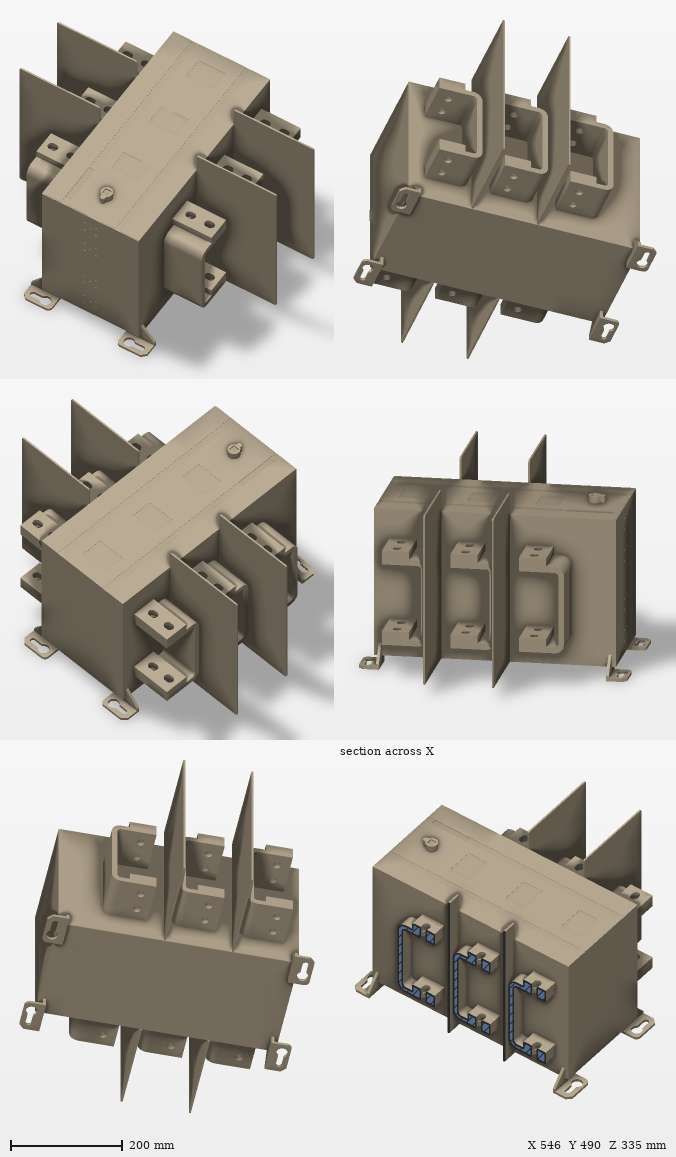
import cadquery as cq

total_width = 546.0
total_depth = 490.0
total_height = 335.0

body_width = 206.0
body_depth = 441.0
body_bottom = 19.0
body_height = 275.0
body_top = body_bottom + body_height
front_plate_thickness = 1.5
surface_step = 0.5

pole_pitch = 125.0
middle_pole_y = 42.0
pole_centers = [middle_pole_y + pole_pitch * step for step in (-1, 0, 1)]

pad_depth = 49.0
pad_thickness = 15.5
terminal_outer_x = 186.0
bar_gap = 3.5
bar_depth = 82.0
bar_height = 161.0
bar_bottom = 64.0
bar_thickness = 10.5
bar_outer_radius = 17.5
bolt_diameter = 14.0
bolt_slot_width = 15.0
bolt_slot_length = 20.0
bolt_centers_x = (129.5, 164.0)

barrier_thickness = 3.5
barrier_corner_radius = 3.5
barrier_offset_from_pole = 57.5

cover_strip_inner_x = 51.5
cover_strip_width = 12.0
label_center_y = -165.0
label_length = 81.5
window_width = 58.0
window_depth = 42.5

knob_y = -165.0
knob_radius = 11.5
knob_height = 14.0
knob_pointer_width = 10.0
knob_pointer_reach = 18.0
knob_tip_radius = 4.5
knob_socket_size = 12.5
knob_socket_depth = 3.5

front_hole_diameter = 4.0
group_offsets_z = (-105.0, -46.0, 46.0, 105.0)
group_half_width = 12.0
group_half_height = 10.5

foot_inner_x = 70.5
foot_width = 60.5
foot_outer_x = foot_inner_x + foot_width
foot_thickness = 5.5
foot_web_inner_y = 207.0
foot_web_height = 42.0
foot_web_edge_height = 10.5
foot_corner = 9.0
keyhole_center_x = 89.0
keyhole_center_y = 230.0
keyhole_radius = 10.5
keyhole_slot_radius = 5.5
keyhole_slot_end_x = 116.0


def box(x_range, y_range, z_range):
    """Axis-aligned block given by its limits on each axis."""
    (x0, x1), (y0, y1), (z0, z1) = x_range, y_range, z_range
    return cq.Workplane("XY").box(x1 - x0, y1 - y0, z1 - z0, centered=False).translate((x0, y0, z0))


def make_body():
    """Main block with a thin front plate whose top edge is slightly lower."""
    half_width = body_width / 2
    half_depth = body_depth / 2
    plate_back = -half_depth + front_plate_thickness
    sides = (-half_width, half_width)
    block = box(sides, (plate_back, half_depth), (body_bottom, body_top))
    plate = box(sides, (-half_depth, plate_back), (body_bottom, body_top - surface_step))
    return block.union(plate)


def cut_cover_details(body):
    """Shallow strips along the cover, a label area in the left one, and pole windows."""
    strip_center = cover_strip_inner_x + cover_strip_width / 2
    cover = cq.Workplane("XY").workplane(offset=body_top)
    strips = (
        cover.pushPoints([(-strip_center, 0), (strip_center, 0)])
        .rect(cover_strip_width, body_depth)
        .extrude(-surface_step)
    )
    label = (
        cover.center(-strip_center, label_center_y)
        .rect(cover_strip_width, label_length)
        .extrude(-2 * surface_step)
    )
    windows = (
        cover.pushPoints([(0, y) for y in pole_centers])
        .rect(window_width, window_depth)
        .extrude(-surface_step)
    )
    return body.cut(strips).cut(label).cut(windows)


def cut_front_holes(body):
    """Four groups of five small holes through the front plate."""
    body_middle = body_bottom + body_height / 2
    points = []
    for offset in group_offsets_z:
        group_z = body_middle + offset
        points.append((0, group_z))
        for side in (-1, 1):
            for level in (-1, 1):
                points.append((side * group_half_width, group_z + level * group_half_height))
    holes = (
        cq.Workplane("XZ", origin=(0, -body_depth / 2, 0))
        .pushPoints(points)
        .circle(front_hole_diameter / 2)
        .extrude(-front_plate_thickness)
    )
    return body.cut(holes)


def make_knob():
    """Round knob with a forward pointer and a square socket in its top."""
    pointer = (
        box(
            (-knob_pointer_width / 2, knob_pointer_width / 2),
            (-knob_pointer_reach, 0),
            (0, knob_height),
        )
        .faces("<Y").edges("|Z").fillet(knob_tip_radius)
    )
    socket = (
        cq.Workplane("XY")
        .workplane(offset=knob_height)
        .rect(knob_socket_size, knob_socket_size)
        .extrude(-knob_socket_depth)
    )
    knob = cq.Workplane("XY").circle(knob_radius).extrude(knob_height).union(pointer).cut(socket)
    return knob.translate((0, knob_y, body_top))


def make_terminal(pole_y):
    """Right-hand terminal of one pole: two pads on a C-shaped bar, with bolt holes."""
    back_y = pole_y + pad_depth / 2
    front_y = back_y - bar_depth
    bar_top = bar_bottom + bar_height
    bar_x = (body_width / 2 + bar_gap, terminal_outer_x)

    bar = box(bar_x, (front_y, back_y), (bar_bottom, bar_top))
    bar = bar.faces("<Y").edges("|X").fillet(bar_outer_radius)
    hollow = box(
        bar_x,
        (front_y + bar_thickness, back_y),
        (bar_bottom + bar_thickness, bar_top - bar_thickness),
    )
    hollow = hollow.faces("<Y").edges("|X").fillet(bar_outer_radius - bar_thickness)
    bolt_holes = (
        cq.Workplane("XY")
        .pushPoints([(x, pole_y) for x in bolt_centers_x])
        .circle(bolt_diameter / 2)
        .extrude(body_top)
    )
    terminal = bar.cut(hollow).cut(bolt_holes)

    slot_shift = (bolt_slot_length - bolt_slot_width) / 2
    slot_centers = [
        (bolt_centers_x[0] - slot_shift, pole_y),
        (bolt_centers_x[1] + slot_shift, pole_y),
    ]
    for pad_bottom in (bar_bottom + bar_thickness, bar_top):
        pad = box(
            (body_width / 2, terminal_outer_x),
            (pole_y - pad_depth / 2, back_y),
            (pad_bottom, pad_bottom + pad_thickness),
        )
        slots = (
            cq.Workplane("XY")
            .workplane(offset=pad_bottom)
            .pushPoints(slot_centers)
            .slot2D(bolt_slot_length, bolt_slot_width)
            .extrude(pad_thickness)
        )
        terminal = terminal.union(pad.cut(slots))
    return terminal


def make_barrier(center_y):
    """Right-hand phase barrier: a thin plate standing out from the body side."""
    plate = box(
        (body_width / 2, total_width / 2),
        (center_y - barrier_thickness / 2, center_y + barrier_thickness / 2),
        (body_bottom, total_height),
    )
    return plate.edges("|Y").fillet(barrier_corner_radius)


def make_foot():
    """Rear right foot: an angle with a sloped upright web and a keyhole in its base."""
    outer_y = total_depth / 2
    base = box((foot_inner_x, foot_outer_x), (foot_web_inner_y, outer_y), (0, foot_thickness))
    base = base.edges("|Z and >X").edges(">Y").chamfer(foot_corner)
    base = base.edges("|Z and <X").edges(">Y").fillet(foot_corner)
    web = (
        cq.Workplane("XZ", origin=(0, foot_web_inner_y, 0))
        .moveTo(foot_inner_x, 0)
        .lineTo(foot_outer_x, 0)
        .lineTo(foot_outer_x, foot_web_edge_height)
        .lineTo(body_width / 2, foot_web_height)
        .lineTo(body_width / 2, body_bottom)
        .lineTo(foot_inner_x, body_bottom)
        .close()
        .extrude(-foot_thickness)
    )
    keyhole = (
        cq.Workplane("XY", origin=(keyhole_center_x, keyhole_center_y, 0))
        .circle(keyhole_radius)
        .extrude(foot_thickness)
    )
    slot_length = keyhole_slot_end_x - keyhole_center_x
    slot = (
        cq.Workplane("XY", origin=(keyhole_center_x + slot_length / 2, keyhole_center_y, 0))
        .slot2D(slot_length + 2 * keyhole_slot_radius, 2 * keyhole_slot_radius)
        .extrude(foot_thickness)
    )
    return base.union(web).cut(keyhole).cut(slot)


def add_both_sides(part, piece):
    """Join a piece and its mirror image across the YZ plane."""
    return part.union(piece).union(piece.mirror("YZ"))


result = cut_front_holes(cut_cover_details(make_body())).union(make_knob())

for pole_center in pole_centers:
    result = add_both_sides(result, make_terminal(pole_center))

for pole_center in pole_centers[:-1]:
    result = add_both_sides(result, make_barrier(pole_center + barrier_offset_from_pole))

rear_foot = make_foot()
for foot in (rear_foot, rear_foot.mirror("XZ")):
    result = add_both_sides(result, foot)